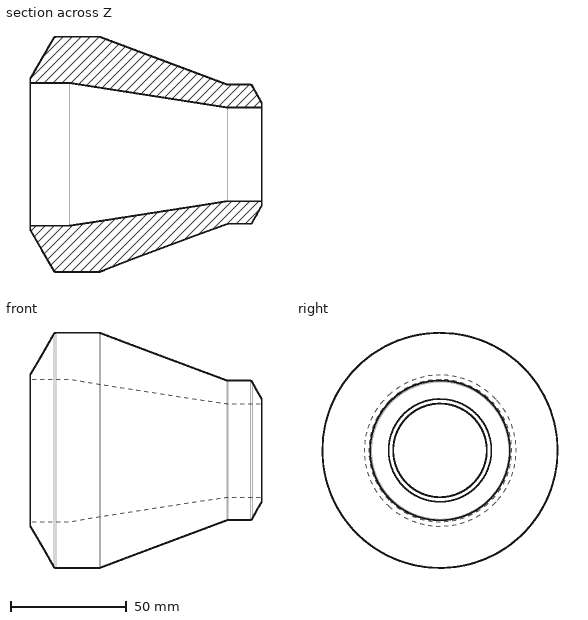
import cadquery as cq

length = 100.0
large_radius = 101.6 / 2
small_radius = 60.4 / 2
large_bore_radius = 61.6 / 2
small_bore_radius = 40.3 / 2

large_face_radius = 65.4 / 2
small_face_radius = 44.4 / 2
large_bevel_length = 10.5
small_bevel_length = 4.5

cone_start = 30.0
cone_end = 85.0
bore_cone_start = 17.0

edge_radius = 1

profile = [
    (0, large_bore_radius),
    (0, large_face_radius),
    (large_bevel_length, large_radius),
    (cone_start, large_radius),
    (cone_end, small_radius),
    (length - small_bevel_length, small_radius),
    (length, small_face_radius),
    (length, small_bore_radius),
    (cone_end, small_bore_radius),
    (bore_cone_start, large_bore_radius),
]

body = cq.Workplane("XY").polyline(profile).close().revolve(360, (0, 0, 0), (1, 0, 0))


def outer_edge(station):
    """Largest circular edge in the plane at the given X station."""
    margin = 0.1
    slab = cq.selectors.BoxSelector(
        (station - margin, -large_radius, -large_radius),
        (station + margin, large_radius, large_radius),
    )
    circles = [edge for edge in body.edges(slab).vals() if edge.geomType() == "CIRCLE"]
    return max(circles, key=lambda edge: edge.radius())


outer_stations = [large_bevel_length, cone_start, cone_end, length - small_bevel_length]
result = body.newObject([outer_edge(station) for station in outer_stations]).fillet(edge_radius)